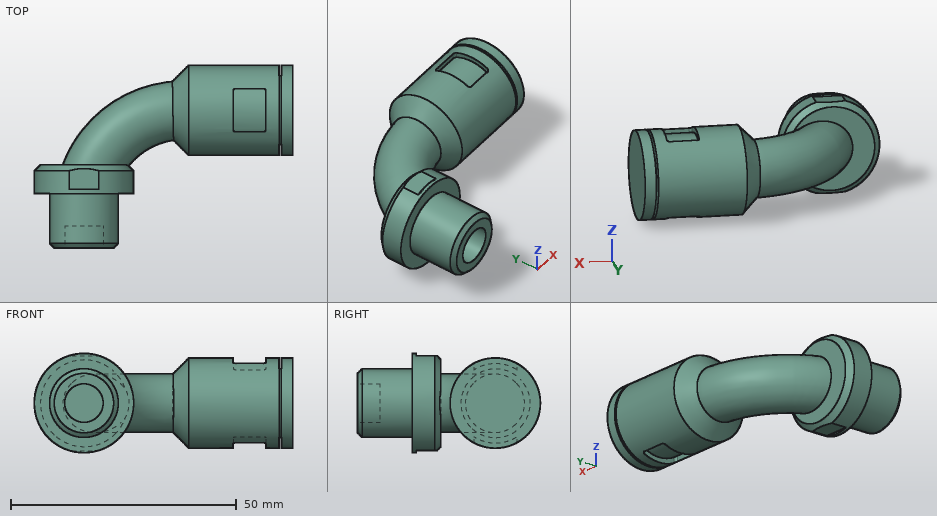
import cadquery as cq

overall_length = 57.2
overall_depth = 40.5

stud_diameter = 15.2
stud_length = 12.05
stud_chamfer = 1.05
flange_diameter = 22.0
flange_thickness = 6.4
flange_chamfer = 1.4
flange_flat_width = 6.6
flange_rim = 1.0
bore_diameter = 8.5
bore_depth = 5.0

tube_diameter = 13.0
bend_radius = 22.0

sleeve_diameter = 20.0
sleeve_length = 23.0
cone_length = 4.1
groove_diameter = 15.3
groove_width = 0.5
end_ring_length = 2.5
pocket_length = 7.25
pocket_width = 9.55
pocket_depth = 1.2
pocket_corner_radius = 0.6
pocket_end_distance = 5.95

flange_radius = flange_diameter / 2
flange_top = stud_length + flange_thickness
sleeve_radius = sleeve_diameter / 2
sleeve_axis_y = overall_depth - sleeve_radius
sleeve_end = overall_length - flange_radius
sleeve_start = sleeve_end - sleeve_length


def cylinder_along_y(diameter, start, length):
    plane = cq.Plane(origin=(0, start, 0), xDir=(1, 0, 0), normal=(0, 1, 0))
    return cq.Workplane(plane).circle(diameter / 2).extrude(length)


def cylinder_along_x(diameter, start, length):
    plane = cq.Plane(origin=(start, sleeve_axis_y, 0), xDir=(0, 1, 0), normal=(1, 0, 0))
    return cq.Workplane(plane).circle(diameter / 2).extrude(length)


def make_stud():
    return cylinder_along_y(stud_diameter, 0, stud_length).faces("<Y").chamfer(stud_chamfer)


def make_flange():
    flange = cylinder_along_y(flange_diameter, stud_length, flange_thickness)
    flange = flange.faces(">Y").chamfer(flange_chamfer)
    flat_distance = (flange_radius**2 - (flange_flat_width / 2) ** 2) ** 0.5
    flat_start = stud_length + flange_rim
    flat_length = flange_top - flat_start
    for side in (1, -1):
        cutter = (
            cq.Workplane("XY", origin=(0, flat_start + flat_length / 2, side * flat_distance))
            .rect(flange_diameter, flat_length)
            .extrude(side * flange_radius)
        )
        flange = flange.cut(cutter)
    return flange


def make_tube():
    bend_start_y = sleeve_axis_y - bend_radius
    bend = (
        cq.Workplane("XZ", origin=(0, bend_start_y, 0))
        .circle(tube_diameter / 2)
        .revolve(90, (bend_radius, 0.6, 0), (bend_radius, -0.6, 0))
    )
    keep_start = stud_length + flange_thickness / 2
    keep = (
        cq.Workplane("XY", origin=(0, keep_start, 0))
        .box(2 * overall_length, overall_depth, flange_diameter, centered=(True, False, True))
    )
    return bend.intersect(keep)


def make_sleeve():
    sleeve = cylinder_along_x(sleeve_diameter, sleeve_start - cone_length, sleeve_length + cone_length)
    sleeve = sleeve.faces("<X").chamfer(cone_length)

    groove_start = sleeve_end - end_ring_length - groove_width
    groove = cylinder_along_x(sleeve_diameter, groove_start, groove_width).cut(
        cylinder_along_x(groove_diameter, groove_start, groove_width)
    )
    sleeve = sleeve.cut(groove)

    floor_core = cylinder_along_x(sleeve_diameter - 2 * pocket_depth, sleeve_start, sleeve_length)
    pocket_center_x = sleeve_end - pocket_end_distance - pocket_length / 2
    pockets = (
        cq.Workplane("XY", origin=(pocket_center_x, sleeve_axis_y, 0))
        .rect(pocket_length, pocket_width)
        .extrude(sleeve_radius, both=True)
        .edges("|Z")
        .fillet(pocket_corner_radius)
        .cut(floor_core)
    )
    return sleeve.cut(pockets)


bore = cylinder_along_y(bore_diameter, 0, bore_depth)
result = make_stud().union(make_flange()).union(make_tube()).union(make_sleeve()).cut(bore)